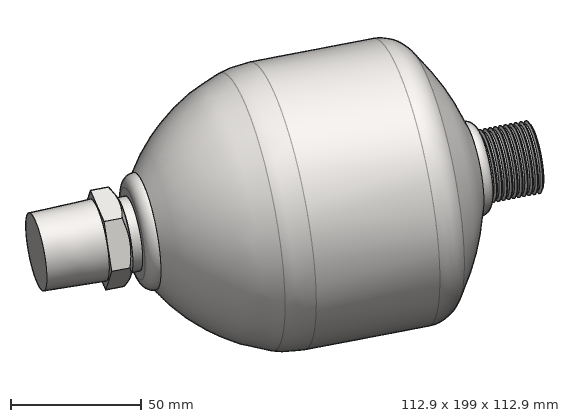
import cadquery as cq
import math


SPIGOT_END_RADIUS = 15.3
SPIGOT_BASE_RADIUS = 16.1
NUT_START = 24.7
NUT_END = 34.2
NUT_CORNER_RADIUS = 19.7
NUT_TURN = 4
NUT_BEVEL_RADIUS = 15.7
NUT_BEVEL_ANGLE = 30
NECK_RADIUS = 14.7

COLLAR_START = 38.5
COLLAR_ROUND = 5.0
COLLAR_END = COLLAR_START + COLLAR_ROUND
COLLAR_RADIUS = 23.0
LOWER_KNUCKLE_START = 84.2
LOWER_KNUCKLE_RADIUS = 54.5
BARREL_START = 96.1
BARREL_END = 145.5
BARREL_RADIUS = 112.9 / 2
UPPER_KNUCKLE_END = 156.9
UPPER_KNUCKLE_RADIUS = 50.8
SHOULDER_START = 173.5
SHOULDER_ROUND = 4.8
SHOULDER_END = SHOULDER_START + SHOULDER_ROUND
SHOULDER_RADIUS = 18.7
VESSEL_END = 199

THREAD_ROOT_RADIUS = 13.1
THREAD_CREST_RADIUS = 14.3
THREAD_PITCH = 2.05
THREAD_COUNT = 10
THREAD_END_GAP = 0.8
RIDGE_HALF_WIDTH = (THREAD_CREST_RADIUS - THREAD_ROOT_RADIUS) * math.tan(math.radians(30))


def turn(profile):
    """Close a half profile, given as (radius, Y), and revolve it about Y."""
    return profile.close().revolve(360, (0, 0, 0), (0, 1, 0))


def cylinder(radius, start, end):
    profile = cq.Workplane("XY").moveTo(0, start).lineTo(radius, start).lineTo(radius, end).lineTo(0, end)
    return turn(profile)


def make_vessel_half(mid, knuckle, dome_end, edge_round, end):
    """Half the vessel, from Y = mid outward: barrel, knuckle, tangent dome and a rounded rim."""
    barrel_edge, knuckle_edge = knuckle
    rim_radius, rim_start = dome_end
    flat_radius = rim_radius - edge_round
    diagonal = edge_round * math.sqrt(0.5)
    outward = math.copysign(1, end - mid)
    round_middle = (flat_radius + diagonal, rim_start + outward * diagonal)
    profile = (
        cq.Workplane("XY")
        .moveTo(0, mid)
        .lineTo(BARREL_RADIUS, mid)
        .lineTo(*barrel_edge)
        .tangentArcPoint(knuckle_edge, relative=False)
        .tangentArcPoint(dome_end, relative=False)
        .threePointArc(round_middle, (flat_radius, end))
        .lineTo(0, end)
    )
    return turn(profile)


def make_ridge(crest):
    profile = (
        cq.Workplane("XY")
        .moveTo(0, crest - RIDGE_HALF_WIDTH)
        .lineTo(THREAD_ROOT_RADIUS, crest - RIDGE_HALF_WIDTH)
        .lineTo(THREAD_CREST_RADIUS, crest)
        .lineTo(THREAD_ROOT_RADIUS, crest + RIDGE_HALF_WIDTH)
        .lineTo(0, crest + RIDGE_HALF_WIDTH)
    )
    return turn(profile)


def make_vessel():
    middle = (BARREL_START + BARREL_END) / 2
    lower_half = make_vessel_half(
        middle,
        [(BARREL_RADIUS, BARREL_START), (LOWER_KNUCKLE_RADIUS, LOWER_KNUCKLE_START)],
        (COLLAR_RADIUS, COLLAR_END),
        COLLAR_ROUND,
        COLLAR_START,
    )
    upper_half = make_vessel_half(
        middle,
        [(BARREL_RADIUS, BARREL_END), (UPPER_KNUCKLE_RADIUS, UPPER_KNUCKLE_END)],
        (SHOULDER_RADIUS, SHOULDER_START),
        SHOULDER_ROUND,
        SHOULDER_END,
    )
    stub = cylinder(THREAD_ROOT_RADIUS, SHOULDER_START, VESSEL_END)
    for index in range(THREAD_COUNT):
        stub = stub.union(make_ridge(VESSEL_END - THREAD_END_GAP - index * THREAD_PITCH))
    return lower_half.union(upper_half).union(stub).clean()


def make_nut():
    """Hexagon with its corners bevelled on the side facing the vessel."""
    hexagon = (
        cq.Workplane("XZ", origin=(0, NUT_START, 0))
        .polygon(6, 2 * NUT_CORNER_RADIUS)
        .extrude(NUT_START - NUT_END)
        .rotate((0, 0, 0), (0, 1, 0), -NUT_TURN)
    )
    cone_radius = 1.1 * NUT_CORNER_RADIUS
    cone_drop = (cone_radius - NUT_BEVEL_RADIUS) * math.tan(math.radians(NUT_BEVEL_ANGLE))
    bevel_profile = (
        cq.Workplane("XY")
        .moveTo(0, NUT_START)
        .lineTo(cone_radius, NUT_START)
        .lineTo(cone_radius, NUT_END - cone_drop)
        .lineTo(NUT_BEVEL_RADIUS, NUT_END)
        .lineTo(0, NUT_END)
    )
    return hexagon.intersect(turn(bevel_profile))


def make_fitting():
    spigot_profile = (
        cq.Workplane("XY")
        .lineTo(SPIGOT_END_RADIUS, 0)
        .lineTo(SPIGOT_BASE_RADIUS, NUT_START)
        .lineTo(0, NUT_START)
    )
    neck = cylinder(NECK_RADIUS, NUT_END, COLLAR_START)
    return turn(spigot_profile).union(make_nut()).union(neck)


vessel = make_vessel()
fitting = make_fitting()
result = cq.Compound.makeCompound([vessel.solids().val(), fitting.solids().val()])